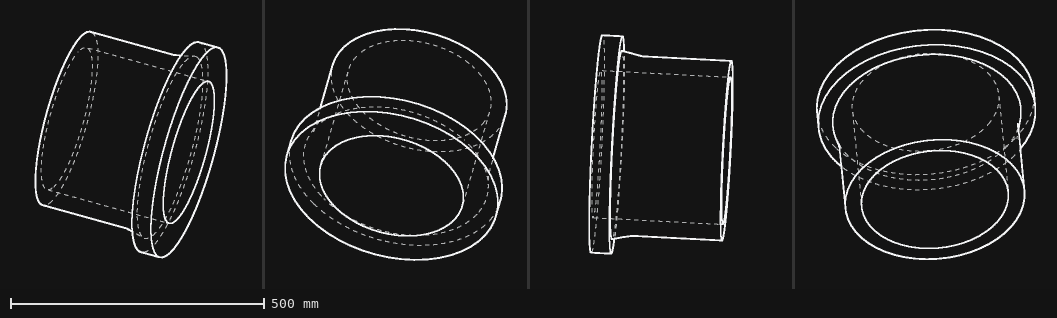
import cadquery as cq

flange_diameter = 430.0
pipe_diameter = 355.0
bore_diameter = 290.5
neck_diameter = 373.0
total_length = 257.0
flange_thickness = 40.0
neck_length = 40.0

flange_start = total_length - flange_thickness
pipe_length = flange_start - neck_length

bore_radius = bore_diameter / 2
pipe_radius = pipe_diameter / 2
neck_radius = neck_diameter / 2
flange_radius = flange_diameter / 2

wall_section = (
    cq.Workplane("XY")
    .moveTo(0, bore_radius)
    .lineTo(0, pipe_radius)
    .lineTo(pipe_length, pipe_radius)
    .lineTo(flange_start, neck_radius)
    .lineTo(flange_start, flange_radius)
    .lineTo(total_length, flange_radius)
    .lineTo(total_length, bore_radius)
    .close()
)

result = wall_section.revolve(360, (0, 0, 0), (1, 0, 0))